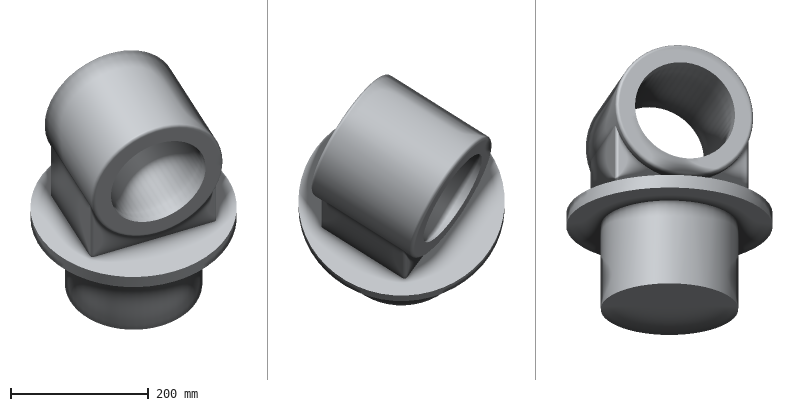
import cadquery as cq

total_height = 380.0
shank_diameter = 200.0
shank_height = 130.0
flange_diameter = 300.0
flange_thickness = 20.0
neck_length_x = 150.0
neck_width_y = 200.0
neck_edge_radius = 5.0
tube_diameter = 206.92
tube_length = 180.0
tube_rim_radius = 5.0
bore_diameter = 150.0

flange_top = shank_height + flange_thickness
tube_axis_height = total_height - tube_diameter / 2


def disc(diameter, height, base_height):
    """Upright cylinder centred on the Z axis."""
    return cq.Workplane("XY").workplane(offset=base_height).circle(diameter / 2).extrude(height)


def cylinder_along_x(diameter, length):
    """Horizontal cylinder on the tube axis, centred on X = 0."""
    return (
        cq.Workplane("YZ")
        .workplane(offset=-length / 2)
        .center(0, tube_axis_height)
        .circle(diameter / 2)
        .extrude(length)
    )


def neck():
    """Block between flange and tube; its top outer edges lie on the tube surface."""
    half_width = neck_width_y / 2
    drop_from_axis = ((tube_diameter / 2) ** 2 - half_width**2) ** 0.5
    height = tube_axis_height - drop_from_axis - flange_top
    return (
        cq.Workplane("XY")
        .workplane(offset=flange_top)
        .rect(neck_length_x, neck_width_y)
        .extrude(height)
        .edges("|Z")
        .fillet(neck_edge_radius)
    )


def tube():
    """Solid tube body with both outer rims rounded."""
    return cylinder_along_x(tube_diameter, tube_length).faces("<X or >X").edges().fillet(tube_rim_radius)


shank = disc(shank_diameter, shank_height, 0)
flange = disc(flange_diameter, flange_thickness, shank_height)
bore = cylinder_along_x(bore_diameter, tube_length)

result = shank.union(flange).union(neck()).union(tube()).cut(bore)